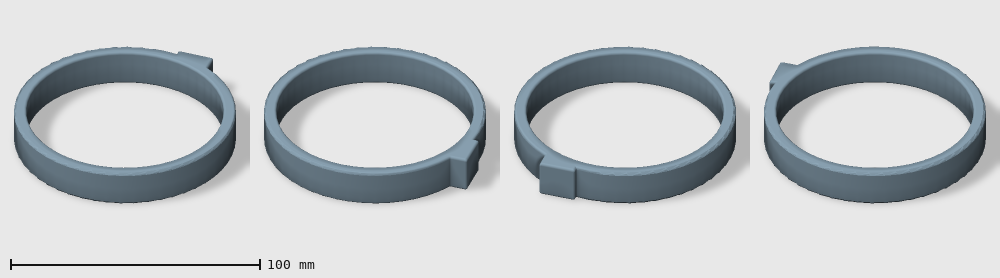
import cadquery as cq
import math

outer_diameter = 89.0
inner_diameter = 79.05
height = 15.0
rim_fillet = 1.0

tab_tilt = 27.0
tab_face_distance = 46.4
tab_start = 5.8
tab_end = 20.8
tab_corner_fillet = 0.8
tab_root_fillet = 0.5

outer_radius = outer_diameter / 2
inner_radius = inner_diameter / 2
wall_middle_radius = (outer_radius + inner_radius) / 2

tab_length = tab_end - tab_start
tab_back_distance = math.sqrt(wall_middle_radius**2 - tab_end**2)
tab_depth = tab_face_distance - tab_back_distance


def make_tab():
    """Block with rounded outer corners, its flat face toward +Y."""
    block = cq.Workplane("XY").box(tab_length, tab_depth, height, centered=False)
    block = block.edges("|Z and >Y").fillet(tab_corner_fillet)
    return block.translate((tab_start, tab_back_distance, 0))


def make_ring():
    """Ring with its tab, all top and bottom edges rounded."""
    disc = cq.Workplane("XY").circle(outer_radius).extrude(height)
    bore = cq.Workplane("XY").circle(inner_radius).extrude(height)
    body = disc.union(make_tab()).cut(bore)

    root_distance = math.sqrt(outer_radius**2 - tab_end**2)
    root_point = (tab_end, root_distance, height / 2)
    body = body.edges(cq.NearestToPointSelector(root_point)).fillet(tab_root_fillet)

    body = body.faces("<Z or >Z").edges().fillet(rim_fillet)
    return body.rotate((0, 0, 0), (0, 0, 1), tab_tilt)


ring = make_ring()
result = cq.Compound.makeCompound([ring.val()])